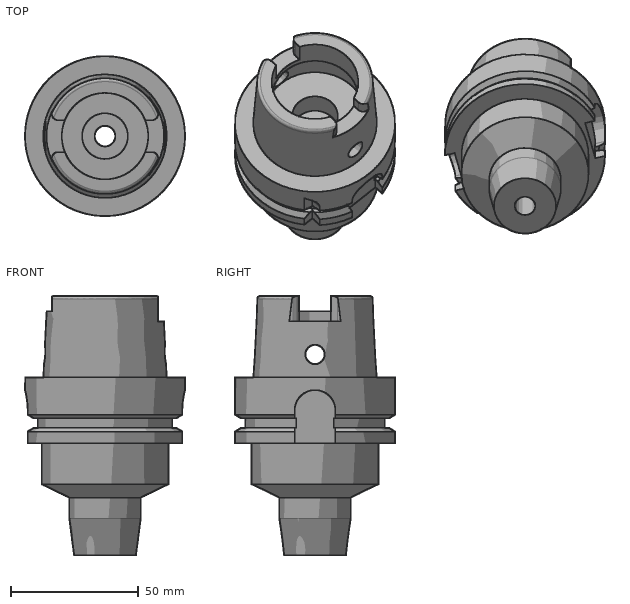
import cadquery as cq
import math

SHANK_HEIGHT = 32.0
FLANGE_HEIGHT = 26.0
TOTAL_HEIGHT = 102.0
NOSE_Z = SHANK_HEIGHT - TOTAL_HEIGHT

GAUGE_RADIUS = 24.0
GAUGE_Z = 6.3
TAPER_PER_MM = 0.05
SHANK_TOP_ROUND = 1.2

FLANGE_RADIUS = 31.5
GROOVE_RADIUS = 27.5
GROOVE_LIP_RADIUS = 29.2
GROOVE_CENTRE_Z = -18.0
GROOVE_FLOOR_WIDTH = 3.75
GROOVE_MOUTH_WIDTH = 6.75

BODY_RADIUS = 25.0
BODY_END_Z = -42.0
NOSE_RADIUS = 14.1
NOSE_START_Z = -47.3
NOSE_TAPER_Z = -55.4
NOSE_TIP_RADIUS = 12.2

MOUTH_RADIUS = 17.0
MOUTH_DEPTH = 12.8
CAVITY_RADIUS = 20.0
CAVITY_FLOOR_Z = 5.2
COUNTERBORE_RADIUS = 9.0
COUNTERBORE_FLOOR_Z = -6.0
THROUGH_RADIUS = 4.0

KEYWAY_HALF_WIDTH = 6.25
KEYWAY_ROUND = 2.5
KEYWAY_SHOULDER_X = 20.9
KEYWAY_FLOOR_LEFT_Z = 26.0
KEYWAY_FLOOR_RIGHT_Z = 22.0

CROSS_HOLE_RADIUS = 3.75
CROSS_HOLE_Z = 9.0

SLOT_TOP_Z = -5.0
SLOT_FLOOR_X = 26.5
SLOT_RADIUS = 8.0

NOTCH_FLOOR_X = 20.2
NOTCH_INNER_Y = 19.85
NOTCH_RADIUS = 7.0

CLEARANCE = 5.0


def shank_radius(z):
    """Outer radius of the shank taper at height z."""
    return GAUGE_RADIUS + TAPER_PER_MM * (GAUGE_Z - z)


def make_outer_body():
    """Turned outside shape, revolved about Z."""
    floor_half = GROOVE_FLOOR_WIDTH / 2
    mouth_half = GROOVE_MOUTH_WIDTH / 2
    profile = [
        (0, SHANK_HEIGHT),
        (shank_radius(SHANK_HEIGHT), SHANK_HEIGHT),
        (shank_radius(0), 0),
        (FLANGE_RADIUS, 0),
        (FLANGE_RADIUS, GROOVE_CENTRE_Z + mouth_half),
        (GROOVE_LIP_RADIUS, GROOVE_CENTRE_Z + floor_half),
        (GROOVE_RADIUS, GROOVE_CENTRE_Z + floor_half),
        (GROOVE_RADIUS, GROOVE_CENTRE_Z - floor_half),
        (GROOVE_LIP_RADIUS, GROOVE_CENTRE_Z - floor_half),
        (FLANGE_RADIUS, GROOVE_CENTRE_Z - mouth_half),
        (FLANGE_RADIUS, -FLANGE_HEIGHT),
        (BODY_RADIUS, -FLANGE_HEIGHT),
        (BODY_RADIUS, BODY_END_Z),
        (NOSE_RADIUS, NOSE_START_Z),
        (NOSE_RADIUS, NOSE_TAPER_Z),
        (NOSE_TIP_RADIUS, NOSE_Z),
        (0, NOSE_Z),
    ]
    body = cq.Workplane("XZ").polyline(profile).close().revolve(360, (0, 0), (0, 1))
    return body.faces(">Z").edges().fillet(SHANK_TOP_ROUND)


def make_bore():
    """Axial hollow: mouth, wider clamping cavity, counterbore and through hole."""
    mouth_end_z = SHANK_HEIGHT - MOUTH_DEPTH
    profile = [
        (0, SHANK_HEIGHT),
        (MOUTH_RADIUS, SHANK_HEIGHT),
        (MOUTH_RADIUS, mouth_end_z),
        (CAVITY_RADIUS, mouth_end_z),
        (CAVITY_RADIUS, CAVITY_FLOOR_Z),
        (COUNTERBORE_RADIUS, CAVITY_FLOOR_Z),
        (COUNTERBORE_RADIUS, COUNTERBORE_FLOOR_Z),
        (THROUGH_RADIUS, COUNTERBORE_FLOOR_Z),
        (THROUGH_RADIUS, NOSE_Z),
        (0, NOSE_Z),
    ]
    return cq.Workplane("XZ").polyline(profile).close().revolve(360, (0, 0), (0, 1))


def make_keyway(side, floor_z):
    """Keyway through the rim wall on the given X side, with rounded outer corners."""
    outer_x = side * (KEYWAY_SHOULDER_X + CLEARANCE)
    shoulder_x = side * KEYWAY_SHOULDER_X
    round_x = side * (KEYWAY_SHOULDER_X - KEYWAY_ROUND)
    round_y = KEYWAY_HALF_WIDTH + KEYWAY_ROUND
    mid_x = round_x + side * KEYWAY_ROUND * math.sin(math.pi / 4)
    mid_y = round_y - KEYWAY_ROUND * math.cos(math.pi / 4)
    far_y = shank_radius(0)
    return (
        cq.Workplane("XY", origin=(0, 0, floor_z))
        .moveTo(0, KEYWAY_HALF_WIDTH)
        .lineTo(round_x, KEYWAY_HALF_WIDTH)
        .threePointArc((mid_x, mid_y), (shoulder_x, round_y))
        .lineTo(shoulder_x, far_y)
        .lineTo(outer_x, far_y)
        .lineTo(outer_x, -far_y)
        .lineTo(shoulder_x, -far_y)
        .lineTo(shoulder_x, -round_y)
        .threePointArc((mid_x, -mid_y), (round_x, -KEYWAY_HALF_WIDTH))
        .lineTo(0, -KEYWAY_HALF_WIDTH)
        .close()
        .extrude(SHANK_HEIGHT - floor_z + CLEARANCE)
    )


def make_rim_slot(side, floor_x, centre_y, radius):
    """Round-topped slot cut along X into the flange rim, open at the flange's underside."""
    arc_z = SLOT_TOP_Z - radius
    return (
        cq.Workplane("YZ", origin=(side * floor_x, 0, 0))
        .moveTo(centre_y - radius, -FLANGE_HEIGHT)
        .lineTo(centre_y - radius, arc_z)
        .threePointArc((centre_y, SLOT_TOP_Z), (centre_y + radius, arc_z))
        .lineTo(centre_y + radius, -FLANGE_HEIGHT)
        .close()
        .extrude(side * (FLANGE_RADIUS - floor_x + CLEARANCE))
    )


def make_cross_hole():
    """Round hole along X through both walls of the shank."""
    length = 2 * FLANGE_RADIUS
    return (
        cq.Workplane("YZ", origin=(-FLANGE_RADIUS, 0, 0))
        .center(0, CROSS_HOLE_Z)
        .circle(CROSS_HOLE_RADIUS)
        .extrude(length)
    )


LEFT = -1
RIGHT = 1

result = make_outer_body().cut(make_bore())
result = result.cut(make_keyway(LEFT, KEYWAY_FLOOR_LEFT_Z))
result = result.cut(make_keyway(RIGHT, KEYWAY_FLOOR_RIGHT_Z))
result = result.cut(make_cross_hole())
result = result.cut(make_rim_slot(LEFT, SLOT_FLOOR_X, 0, SLOT_RADIUS))
result = result.cut(make_rim_slot(RIGHT, SLOT_FLOOR_X, 0, SLOT_RADIUS))
notch_centre_y = NOTCH_INNER_Y + NOTCH_RADIUS
result = result.cut(make_rim_slot(LEFT, NOTCH_FLOOR_X, notch_centre_y, NOTCH_RADIUS))